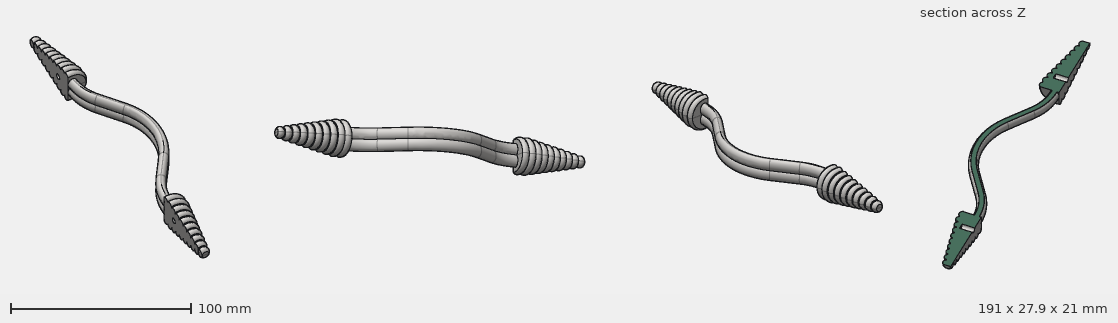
import cadquery as cq
import math

length = 191.0
depth = 27.9

foot_length = 42.4
rib_count = 10
foot_axis_y = 2.3
tip_rib_radius = 3.5
end_rib_radius = 10.5
rib_width = foot_length / rib_count
bead_height = 1.3
rib_step = (end_rib_radius - tip_rib_radius) / (rib_count - 2)

hole_spacing = 128.4
hole_diameter = 3.2
hole_depth = 7.6

rod_radius_y = 2.9
rod_radius_z = 3.6
rod_pair_width = 13.4
rod_offset = rod_pair_width / 2 - rod_radius_z
rod_embed = 2.0
bend_angle = math.radians(35)
crown_bend_radius = 37.2


def make_foot():
    """Foot at the -X end: beaded solid of revolution, flattened on the mounting plane."""
    tip_x = -length / 2
    profile = cq.Workplane("XY").moveTo(tip_x, foot_axis_y)
    for rib in range(rib_count):
        crest = min(tip_rib_radius + rib * rib_step, end_rib_radius)
        start_x = tip_x + rib * rib_width
        shoulder_y = foot_axis_y + crest - bead_height
        if rib < rib_count - 1:
            profile = profile.lineTo(start_x, shoulder_y)
        profile = profile.threePointArc(
            (start_x + rib_width / 2, foot_axis_y + crest),
            (start_x + rib_width, shoulder_y),
        )
    profile = profile.lineTo(tip_x + foot_length, foot_axis_y).close()
    half_foot = profile.revolve(180, (tip_x, foot_axis_y, 0), (tip_x + foot_length, foot_axis_y, 0))
    foot = half_foot.union(half_foot.mirror("XY"), clean=False)

    mounting_side = cq.Workplane("XY").box(
        2 * length, length, length, centered=(True, False, True)
    )
    foot = foot.intersect(mounting_side, clean=False)
    hole = (
        cq.Workplane("XZ")
        .center(-hole_spacing / 2, 0)
        .circle(hole_diameter / 2)
        .extrude(-hole_depth)
    )
    return foot.cut(hole, clean=False)


def make_rod(z):
    """Oval rod with two reverse bends, two straight legs and a crown bend."""
    half_span = length / 2 - foot_length
    base_y = rod_radius_y
    crown_y = depth - rod_radius_y
    rise = crown_y - base_y
    sine = math.sin(bend_angle)
    cosine = math.cos(bend_angle)
    radius_sum = (half_span * sine - rise * cosine) / (1 - cosine)
    foot_bend_radius = radius_sum - crown_bend_radius

    foot_bend_x = half_span - foot_bend_radius * sine
    foot_bend_y = base_y + foot_bend_radius * (1 - cosine)
    foot_mid_x = half_span - foot_bend_radius * math.sin(bend_angle / 2)
    foot_mid_y = base_y + foot_bend_radius * (1 - math.cos(bend_angle / 2))
    crown_bend_x = crown_bend_radius * sine
    crown_bend_y = crown_y - crown_bend_radius * (1 - cosine)
    path = (
        cq.Workplane("XY", origin=(0, 0, z))
        .moveTo(-half_span - rod_embed, base_y)
        .lineTo(-half_span, base_y)
        .threePointArc((-foot_mid_x, foot_mid_y), (-foot_bend_x, foot_bend_y))
        .lineTo(-crown_bend_x, crown_bend_y)
        .threePointArc((0, crown_y), (crown_bend_x, crown_bend_y))
        .lineTo(foot_bend_x, foot_bend_y)
        .threePointArc((foot_mid_x, foot_mid_y), (half_span, base_y))
        .lineTo(half_span + rod_embed, base_y)
    )
    section = cq.Workplane("YZ", origin=(-half_span - rod_embed, base_y, z))
    return section.ellipse(rod_radius_y, rod_radius_z).sweep(path)


left_foot = make_foot()
right_foot = left_foot.mirror("YZ")
result = left_foot.union(right_foot, clean=False)
for side in (-1, 1):
    result = result.union(make_rod(side * rod_offset), clean=False)